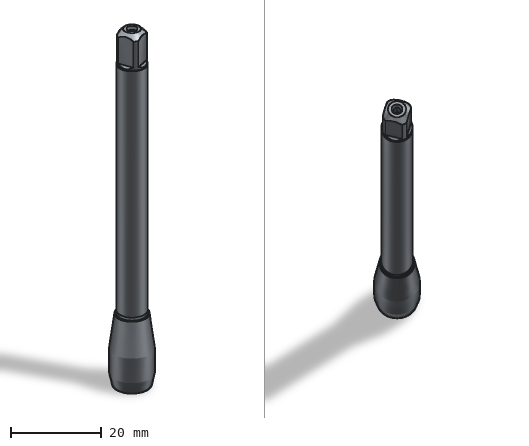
import cadquery as cq
import math

total_length = 90.0
shank_diameter = 7.0

square_size = 5.5
square_corner_diameter = 6.72
square_shoulder_z = 82.0
run_out_angle = math.radians(40)
shoulder_edge_z = 81.15
tip_flat_diameter = 4.0
tip_cone_height = 1.4

centre_hole_diameter = 1.6
centre_hole_depth = 3.0
centre_mouth_diameter = 2.4
centre_mouth_angle = math.radians(60)
drill_point_angle = math.radians(120)

sleeve_diameter = 10.15
sleeve_length = 18.9
sleeve_neck_diameter = 7.82
sleeve_neck_z = 18.05
sleeve_collar_diameter = 7.15
sleeve_collar_z = 18.2
sleeve_belly_top_z = 9.4
sleeve_belly_bottom_z = 3.2
sleeve_rim_diameter = 9.0
sleeve_rim_z = 0.5
sleeve_base_diameter = 8.0


def make_shank_blank():
    """Round bar with a shouldered, cone-tipped drive end."""
    shank_radius = shank_diameter / 2
    corner_radius = square_corner_diameter / 2
    shoulder_top_z = shoulder_edge_z + shank_radius - corner_radius
    profile = (
        cq.Workplane("XZ")
        .lineTo(shank_radius, 0)
        .lineTo(shank_radius, shoulder_edge_z)
        .lineTo(corner_radius, shoulder_top_z)
        .lineTo(corner_radius, total_length - tip_cone_height)
        .lineTo(tip_flat_diameter / 2, total_length)
        .lineTo(0, total_length)
        .close()
    )
    return profile.revolve(360, (0, 0, 0), (0, 1, 0))


def make_flat_cutter():
    """Prism beyond the +X flat, with a sloped run-out at the shoulder."""
    flat_offset = square_size / 2
    outer_offset = shank_diameter
    run_out_drop = (outer_offset - flat_offset) * math.tan(run_out_angle)
    profile = (
        cq.Workplane("XZ")
        .moveTo(flat_offset, total_length)
        .lineTo(flat_offset, square_shoulder_z)
        .lineTo(outer_offset, square_shoulder_z - run_out_drop)
        .lineTo(outer_offset, total_length)
        .close()
    )
    return profile.extrude(shank_diameter / 2, both=True)


def make_centre_hole_cutter():
    """Countersunk blind hole with a drill point."""
    hole_radius = centre_hole_diameter / 2
    mouth_radius = centre_mouth_diameter / 2
    mouth_depth = (mouth_radius - hole_radius) / math.tan(centre_mouth_angle / 2)
    hole_bottom_z = total_length - centre_hole_depth
    point_length = hole_radius / math.tan(drill_point_angle / 2)
    profile = (
        cq.Workplane("XZ")
        .moveTo(0, total_length)
        .lineTo(mouth_radius, total_length)
        .lineTo(hole_radius, total_length - mouth_depth)
        .lineTo(hole_radius, hole_bottom_z)
        .lineTo(0, hole_bottom_z - point_length)
        .close()
    )
    return profile.revolve(360, (0, 0, 0), (0, 1, 0))


def make_shank():
    """Shank with four drive flats and a centre hole."""
    blank = make_shank_blank()
    flat_cutter = make_flat_cutter()
    for quarter_turn in range(4):
        blank = blank.cut(flat_cutter.rotate((0, 0, 0), (0, 0, 1), 90 * quarter_turn))
    return blank.cut(make_centre_hole_cutter())


def make_sleeve():
    """Turned sleeve bored to fit around the lower end of the shank."""
    bore_radius = shank_diameter / 2
    profile = (
        cq.Workplane("XZ")
        .moveTo(bore_radius, 0)
        .lineTo(sleeve_base_diameter / 2, 0)
        .tangentArcPoint((sleeve_rim_diameter / 2, sleeve_rim_z), relative=False)
        .lineTo(sleeve_diameter / 2, sleeve_belly_bottom_z)
        .lineTo(sleeve_diameter / 2, sleeve_belly_top_z)
        .lineTo(sleeve_neck_diameter / 2, sleeve_neck_z)
        .lineTo(sleeve_collar_diameter / 2, sleeve_collar_z)
        .lineTo(bore_radius, sleeve_length)
        .close()
    )
    return profile.revolve(360, (0, 0, 0), (0, 1, 0))


shank = make_shank()
sleeve = make_sleeve()
result = cq.Compound.makeCompound([shank.val(), sleeve.val()])